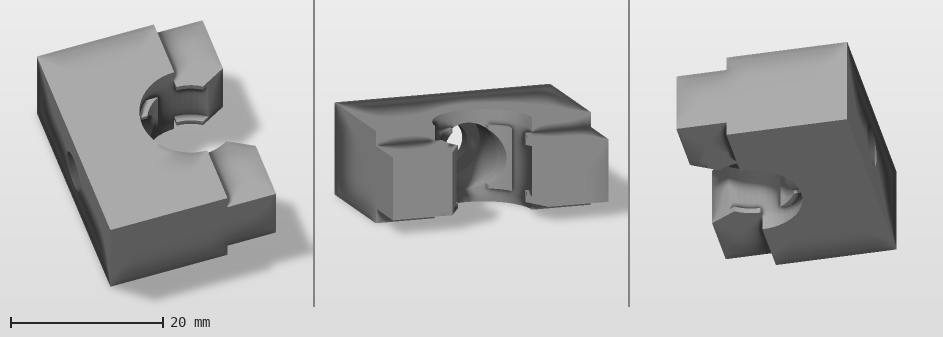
import cadquery as cq
import math

width = 30.0
height = 12.5
body_depth = 16.25
total_depth = 23.0
mid_z = height / 2

jaw_height = 8.5
jaw_bottom = mid_z - jaw_height / 2

bore_radius = 6.75
lip_radius = 5.75
lip_thickness = 0.75

neck_y = 19.55
neck_half_width = math.sqrt(lip_radius**2 - (neck_y - body_depth) ** 2)
mouth_half_width = 6.7

rib_inner_x = 2.5
rib_outer_x = 5.0
rib_embed = 0.5

cross_hole_diameter = 5.5
cross_hole_wide_diameter = 9.0
cross_hole_step_y = 2.0
cross_hole_wide_depth = body_depth - cross_hole_step_y


def box_between(x_min, x_max, y_min, y_max, z_min, z_max):
    """Box given by its limits along each axis."""
    size = (x_max - x_min, y_max - y_min, z_max - z_min)
    return cq.Workplane("XY").box(*size, centered=False).translate((x_min, y_min, z_min))


def bore_cylinder(radius, z_min, z_max):
    """Vertical cylinder on the bore axis."""
    base = cq.Workplane("XY").workplane(offset=z_min).center(0, body_depth)
    return base.circle(radius).extrude(z_max - z_min)


def make_blank():
    """Body block with the thinner jaw slab behind it."""
    half_width = width / 2
    body = box_between(-half_width, half_width, 0, body_depth, 0, height)
    jaws = box_between(
        -half_width, half_width, body_depth, total_depth, jaw_bottom, jaw_bottom + jaw_height
    )
    return body.union(jaws)


def make_mouth():
    """Opening between the jaws: straight from the bore axis to the neck, then flared."""
    outline = [
        (-neck_half_width, body_depth),
        (neck_half_width, body_depth),
        (neck_half_width, neck_y),
        (mouth_half_width, total_depth),
        (-mouth_half_width, total_depth),
        (-neck_half_width, neck_y),
    ]
    return cq.Workplane("XY").polyline(outline).close().extrude(height)


def make_bore():
    """Wide bore that narrows to a lip at the top and bottom of the jaws."""
    lip_bore = bore_cylinder(lip_radius, 0, height)
    body_bore = bore_cylinder(bore_radius, 0, height).intersect(
        box_between(-bore_radius, bore_radius, 0, body_depth, 0, height)
    )
    jaw_bore = bore_cylinder(
        bore_radius, jaw_bottom + lip_thickness, jaw_bottom + jaw_height - lip_thickness
    )
    return lip_bore.union(body_bore).union(jaw_bore)


def make_rib(side):
    """Rib on the bore wall with a face curved to the lip radius; side is -1 or 1."""
    x_limits = sorted((side * rib_inner_x, side * rib_outer_x))
    block = box_between(*x_limits, 0, body_depth, jaw_bottom, jaw_bottom + jaw_height)
    within_bore = block.intersect(bore_cylinder(bore_radius + rib_embed, 0, height))
    return within_bore.cut(bore_cylinder(lip_radius, 0, height))


def make_cross_hole():
    """Hole through the front wall that widens at a step on its way to the bore."""
    plane = cq.Workplane("XZ").center(0, mid_z)
    narrow = plane.circle(cross_hole_diameter / 2).extrude(-cross_hole_step_y)
    wide_plane = plane.workplane(offset=-cross_hole_step_y)
    wide = wide_plane.circle(cross_hole_wide_diameter / 2).extrude(-cross_hole_wide_depth)
    return narrow.union(wide)


result = make_blank().cut(make_mouth()).cut(make_bore())
for rib_side in (-1, 1):
    result = result.union(make_rib(rib_side))
result = result.cut(make_cross_hole())